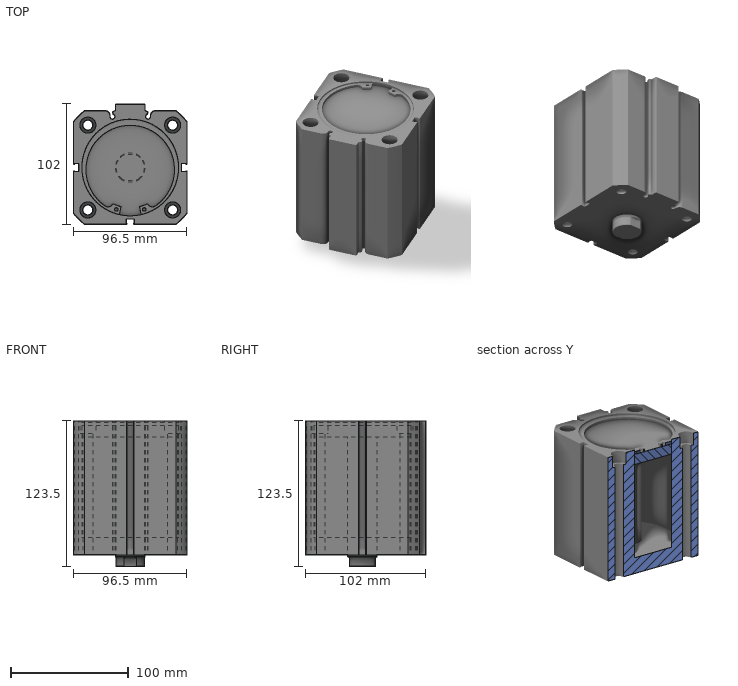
import cadquery as cq
import math

total_height = 123.5
rod_reach = 10.0
body_height = total_height - rod_reach
body_width = 96.5
half_width = body_width / 2
corner_radius = 61.9

rail_half_width = 12.6
overall_depth = 102.0
rail_top = overall_depth - half_width
rail_bevel = 0.5
groove_x = 15.1
groove_y = 43.1
groove_radius = 2.0
groove_mouth_radius = 4.5
hook_neck = (14.6, 45.7)
hook_tip = (15.1, 46.7)
hook_mid = (14.2, 47.7)

slot_mouth = 5.5
slot_mouth_bevel = 0.4
slot_inner = 6.7
slot_lip = 1.0
slot_depth = 4.6
slot_angles = (0, 180, 270)

hole_spacing = 71.9
hole_diameter = 8.4
counterbore_diameter = 13.6
counterbore_depth = 10.5

bore_radius = 41.0
front_wall = 14.8
cover_thickness = 9.9
ring_recess = 1.5
ring_thickness = 2.5
ring_opening_radius = 37.5
ring_opening_y = -1.7
ring_bottom = body_height - ring_recess - ring_thickness
cover_bottom = ring_bottom - cover_thickness

lug_inner_corner = (7.9, -33.2)
lug_tip = (14.6, -30.9)
lug_heel = (16.7, -32.9)
lug_root_mid = (18.9, -33.3)
lug_root_x = 21.2
lug_outer_x = 23.5
gap_outer_x = 9.4
lug_hole = (11.9, -35.6)
lug_hole_diameter = 3.0

rod_diameter = 25.0
tip_diameter = 24.5
shoulder_length = 2.0
shoulder_chamfer = (rod_diameter - tip_diameter) / 2
flat_width = 22.1
flat_fillet = 1.0
tip_chamfer_height = 0.5
tip_chamfer_inset = 0.2


def groove_point(angle):
    """Point on the round groove bottom at the given angle from +X."""
    turn = math.radians(angle)
    return (groove_x + groove_radius * math.cos(turn), groove_y + groove_radius * math.sin(turn))


def rail_half():
    """+X half of the +Y side of the housing, with the rail, hook and groove."""
    neck_reach = groove_x - hook_neck[0]
    neck_angle = math.degrees(math.acos(-neck_reach / groove_radius))
    groove_wall_x = groove_x + groove_radius
    mouth_x = groove_wall_x + groove_mouth_radius
    mouth_y = half_width - groove_mouth_radius
    mouth_mid = groove_mouth_radius * math.sqrt(0.5)
    outline = (
        cq.Workplane("XY")
        .lineTo(0, rail_top)
        .lineTo(rail_half_width - rail_bevel, rail_top)
        .lineTo(rail_half_width, rail_top - rail_bevel)
        .lineTo(rail_half_width, half_width)
        .threePointArc(hook_mid, hook_tip)
        .lineTo(*hook_neck)
        .lineTo(*groove_point(neck_angle))
        .threePointArc(groove_point(225), groove_point(360))
        .lineTo(groove_wall_x, mouth_y)
        .threePointArc((mouth_x - mouth_mid, mouth_y + mouth_mid), (mouth_x, half_width))
        .lineTo(half_width, half_width)
        .lineTo(half_width, 0)
        .close()
    )
    return outline.extrude(body_height)


def sensor_slot(angle):
    """T-slot cutter in the +X face, turned about the axis to the given angle."""
    floor = half_width - slot_depth
    lip = half_width - slot_lip
    mouth = slot_mouth / 2
    inner = slot_inner / 2
    half_outline = [
        (floor, inner),
        (lip, inner),
        (lip, mouth),
        (half_width - slot_mouth_bevel, mouth),
        (half_width, mouth + slot_mouth_bevel),
    ]
    mirrored = [(x, -y) for x, y in reversed(half_outline)]
    slot = cq.Workplane("XY").polyline(half_outline + mirrored).close().extrude(body_height)
    return slot.rotate((0, 0, 0), (0, 0, 1), angle)


def make_housing():
    rail_side = rail_half()
    body = (
        cq.Workplane("XY")
        .box(body_width, half_width, body_height, centered=(True, False, False))
        .translate((0, -half_width, 0))
        .union(rail_side)
        .union(rail_side.mirror("YZ"))
    )
    body = body.intersect(cq.Workplane("XY").circle(corner_radius).extrude(body_height))
    for angle in slot_angles:
        body = body.cut(sensor_slot(angle))
    body = (
        body.faces(">Z")
        .workplane(origin=(0, 0, body_height))
        .rect(hole_spacing, hole_spacing, forConstruction=True)
        .vertices()
        .cboreHole(hole_diameter, counterbore_diameter, counterbore_depth)
    )
    bore_depth = body_height - front_wall
    bore = cq.Workplane("XY").workplane(offset=front_wall).circle(bore_radius).extrude(bore_depth)
    rod_hole = cq.Workplane("XY").circle(rod_diameter / 2).extrude(front_wall)
    return body.cut(bore).cut(rod_hole)


def make_cover():
    """Plain disc closing the bore under the retaining ring."""
    return cq.Workplane("XY").workplane(offset=cover_bottom).circle(bore_radius).extrude(cover_thickness)


def ring_lug(level):
    """+X lug, reaching past the bore wall where it is trimmed afterwards."""
    root_drop = math.sqrt(ring_opening_radius**2 - lug_root_x**2)
    return (
        level.moveTo(*lug_inner_corner)
        .lineTo(*lug_tip)
        .lineTo(*lug_heel)
        .threePointArc(lug_root_mid, (lug_root_x, ring_opening_y - root_drop))
        .lineTo(lug_outer_x, -bore_radius)
        .lineTo(gap_outer_x, -bore_radius)
        .close()
        .extrude(ring_thickness)
    )


def ring_gap(level):
    """Space between the two ring ends."""
    inner_x, inner_y = lug_inner_corner
    corners = [
        (-inner_x, inner_y),
        (inner_x, inner_y),
        (gap_outer_x, -bore_radius),
        (-gap_outer_x, -bore_radius),
    ]
    return level.polyline(corners).close().extrude(ring_thickness)


def make_ring():
    level = cq.Workplane("XY").workplane(offset=ring_bottom)
    disc = level.circle(bore_radius).extrude(ring_thickness)
    opening = level.pushPoints([(0, ring_opening_y)]).circle(ring_opening_radius).extrude(ring_thickness)
    lug = ring_lug(level).intersect(disc)
    hole_x, hole_y = lug_hole
    holes = (
        level.pushPoints([(-hole_x, hole_y), (hole_x, hole_y)])
        .circle(lug_hole_diameter / 2)
        .extrude(ring_thickness)
    )
    ring = disc.cut(opening).union(lug).union(lug.mirror("YZ"))
    return ring.cut(ring_gap(level)).cut(holes)


def flat_cutter():
    """Removes the +Y side of the tip down to the flat, with a fillet at its upper end."""
    flat_y = flat_width / 2
    outer_y = flat_y + flat_fillet
    far_y = rod_diameter / 2
    fillet_bottom = -shoulder_length - flat_fillet
    fillet_mid = flat_fillet * math.sqrt(0.5)
    return (
        cq.Workplane("YZ")
        .moveTo(flat_y, -rod_reach)
        .lineTo(flat_y, fillet_bottom)
        .threePointArc((outer_y - fillet_mid, fillet_bottom + fillet_mid), (outer_y, -shoulder_length))
        .lineTo(far_y, -shoulder_length)
        .lineTo(far_y, -rod_reach)
        .close()
        .extrude(tip_diameter / 2, both=True)
    )


def make_rod():
    shank = (
        cq.Workplane("XY")
        .workplane(offset=-shoulder_length)
        .circle(rod_diameter / 2)
        .extrude(cover_bottom + shoulder_length)
        .faces("<Z")
        .chamfer(2 * shoulder_chamfer, shoulder_chamfer)
    )
    tip = (
        cq.Workplane("XY")
        .workplane(offset=-rod_reach)
        .circle(tip_diameter / 2)
        .extrude(rod_reach - shoulder_length)
        .faces("<Z")
        .chamfer(tip_chamfer_height, tip_chamfer_inset)
    )
    flat = flat_cutter()
    return shank.union(tip.cut(flat).cut(flat.mirror("XZ")))


housing = make_housing()
cover = make_cover()
ring = make_ring()
rod = make_rod()
result = cq.Compound.makeCompound(
    [housing.solids().val(), cover.solids().val(), ring.solids().val(), rod.solids().val()]
)